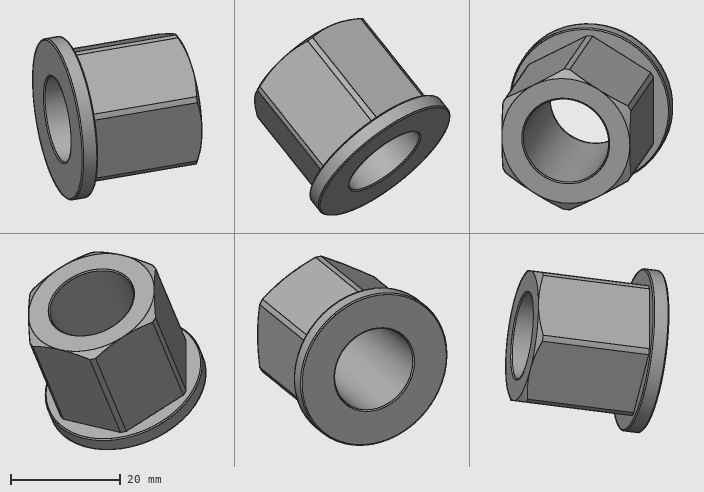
import cadquery as cq
import math

collar_diameter = 30.0
collar_thickness = 3.0
collar_chamfer = 0.25
total_length = 24.0
across_flats = 24.0
across_corners = 27.1
crown_angle = 30.0
bore_diameter = 16.0
bore_chamfer = 0.25

collar_radius = collar_diameter / 2
corner_radius = across_corners / 2
crown_radius = across_flats / 2
bore_radius = bore_diameter / 2
crown_drop = (corner_radius - crown_radius) * math.tan(math.radians(crown_angle))


def revolve_about_y(points):
    """Revolve a closed (radius, y) outline a full turn around the Y axis."""
    return cq.Workplane("XY").polyline(points).close().revolve(360, (0, 0, 0), (0, 1, 0))


def make_collar():
    """Round collar with both outer edges chamfered."""
    rim_radius = collar_radius - collar_chamfer
    return revolve_about_y([
        (0, 0),
        (rim_radius, 0),
        (collar_radius, collar_chamfer),
        (collar_radius, collar_thickness - collar_chamfer),
        (rim_radius, collar_thickness),
        (0, collar_thickness),
    ])


def make_hexagon():
    """Hexagonal body with turned corners and a conical crown at the far end."""
    sharp_corner_diameter = across_flats / math.cos(math.radians(30))
    prism = (
        cq.Workplane("XZ")
        .transformed(rotate=(0, 0, 90))
        .polygon(6, sharp_corner_diameter)
        .extrude(-total_length)
    )
    turned_envelope = revolve_about_y([
        (0, 0),
        (corner_radius, 0),
        (corner_radius, total_length - crown_drop),
        (crown_radius, total_length),
        (0, total_length),
    ])
    return prism.intersect(turned_envelope)


def make_bore():
    """Through bore with a small chamfer at each mouth."""
    mouth_radius = bore_radius + bore_chamfer
    return revolve_about_y([
        (0, 0),
        (mouth_radius, 0),
        (bore_radius, bore_chamfer),
        (bore_radius, total_length - bore_chamfer),
        (mouth_radius, total_length),
        (0, total_length),
    ])


result = make_collar().union(make_hexagon()).cut(make_bore())